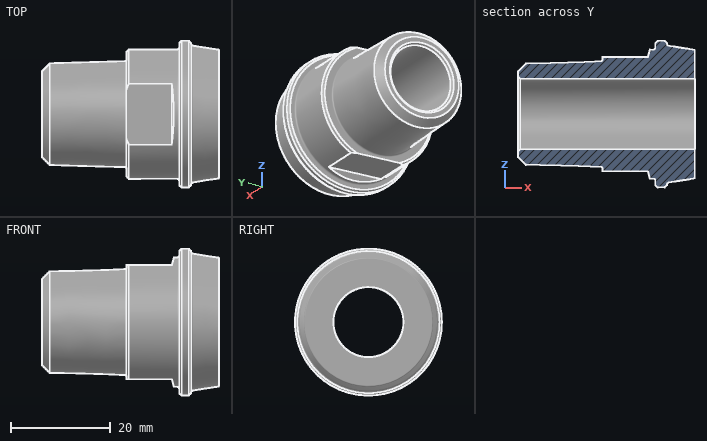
import cadquery as cq
import math

length = 35.5

bore_radius = 14.0 / 2
bore_chamfer = 0.5

spigot_start_radius = 10.22
spigot_end_radius = 10.65
spigot_chamfer = 1.6
spigot_fillet = 0.32

body_start = 16.95
body_radius = 26.0 / 2
body_chamfer = 0.5
body_fillet = 0.35
flat_height = 11.45
flat_end = 26.02
flat_end_slope = 15.0

flange_start = 27.48
flange_radius = 29.5 / 2
flange_front_chamfer = 0.5
flange_rim_end = 29.4
flange_back_chamfer = 0.5
flange_back_fillet = 0.45

tail_start = 30.28
tail_start_radius = 13.75
tail_end_radius = 12.95
tail_fillet = 0.25


def turned_blank():
    """Revolve the outer profile about the X axis into a solid blank."""
    flange_back = flange_rim_end + flange_back_chamfer
    flange_back_radius = flange_radius - flange_back_chamfer
    fillet_near = 1 - math.cos(math.radians(45))
    spigot_fillet_middle = (
        body_start - spigot_fillet * fillet_near,
        spigot_end_radius + spigot_fillet * fillet_near,
    )
    body_fillet_middle = (
        flange_start - body_fillet * fillet_near,
        body_radius + body_fillet * fillet_near,
    )
    tail_fillet_middle = (
        length - tail_fillet * fillet_near,
        tail_end_radius - tail_fillet * fillet_near,
    )
    tail_slope = math.atan2(tail_start_radius - tail_end_radius, length - tail_fillet - tail_start)
    fillet_center_x = flange_back + flange_back_fillet
    fillet_center_radius = tail_start_radius + flange_back_fillet * math.cos(tail_slope)
    middle_angle = (math.radians(90) + tail_slope) / 2
    back_fillet_middle = (
        fillet_center_x - flange_back_fillet * math.sin(middle_angle),
        fillet_center_radius - flange_back_fillet * math.cos(middle_angle),
    )
    back_fillet_end_x = fillet_center_x - flange_back_fillet * math.sin(tail_slope)
    profile = (
        cq.Workplane("XY")
        .lineTo(0, spigot_start_radius - spigot_chamfer)
        .lineTo(spigot_chamfer, spigot_start_radius)
        .lineTo(body_start - spigot_fillet, spigot_end_radius)
        .threePointArc(spigot_fillet_middle, (body_start, spigot_end_radius + spigot_fillet))
        .lineTo(body_start, body_radius - body_chamfer)
        .lineTo(body_start + body_chamfer, body_radius)
        .lineTo(flange_start - body_fillet, body_radius)
        .threePointArc(body_fillet_middle, (flange_start, body_radius + body_fillet))
        .lineTo(flange_start, flange_radius - flange_front_chamfer)
        .lineTo(flange_start + flange_front_chamfer, flange_radius)
        .lineTo(flange_rim_end, flange_radius)
        .lineTo(flange_back, flange_back_radius)
        .lineTo(flange_back, fillet_center_radius)
        .threePointArc(back_fillet_middle, (back_fillet_end_x, tail_start_radius))
        .lineTo(length - tail_fillet, tail_end_radius)
        .threePointArc(tail_fillet_middle, (length, tail_end_radius - tail_fillet))
        .lineTo(length, 0)
        .close()
    )
    return profile.revolve(360, (0, 0, 0), (1, 0, 0))


def bore_cutter():
    """Bore with a conical lead-in at the spigot end."""
    return (
        cq.Workplane("XY")
        .lineTo(0, bore_radius + bore_chamfer)
        .lineTo(bore_chamfer, bore_radius)
        .lineTo(length, bore_radius)
        .lineTo(length, 0)
        .close()
        .revolve(360, (0, 0, 0), (1, 0, 0))
    )


def flat_cutter():
    """Prism above the upper wrench flat, with a sloped end towards the flange."""
    top = flange_radius
    slope_run = (top - flat_height) * math.tan(math.radians(flat_end_slope))
    return (
        cq.Workplane("XZ")
        .moveTo(body_start, flat_height)
        .lineTo(flat_end, flat_height)
        .lineTo(flat_end + slope_run, top)
        .lineTo(body_start, top)
        .close()
        .extrude(body_radius, both=True)
    )


result = turned_blank().cut(bore_cutter())
upper_flat = flat_cutter()
for cutter in (upper_flat, upper_flat.mirror("XY")):
    result = result.cut(cutter)